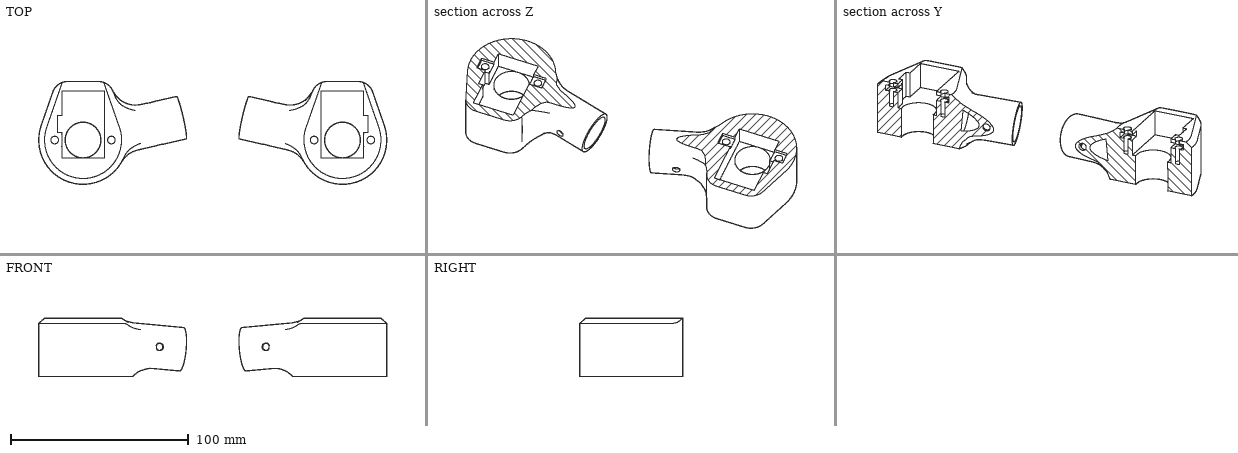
import cadquery as cq
import math


SPAN = 196.0
HEAD_DIAMETER = 50.0
HEAD_RADIUS = HEAD_DIAMETER / 2
HEAD_DEPTH = 58.0
HEAD_HEIGHT = 33.0
BACK_Y = HEAD_DEPTH - HEAD_RADIUS
BACK_WIDTH = 30.0
BACK_HALF_WIDTH = BACK_WIDTH / 2
CORNER_RADIUS = 9.0
CHAMFER_HEIGHT = 3.0
CHAMFER_WIDTH = 3.3
HEAD_OFFSET = SPAN / 2 - HEAD_RADIUS

BACK_CORNER_DISTANCE = math.hypot(BACK_HALF_WIDTH, BACK_Y)
BACK_CORNER_ANGLE = math.atan2(BACK_Y, BACK_HALF_WIDTH)
FLANK_ANGLE = BACK_CORNER_ANGLE - math.acos(HEAD_RADIUS / BACK_CORNER_DISTANCE)

TUBE_DIAMETER = 24.7
TUBE_BORE_DIAMETER = 20.5
TUBE_BORE_DEPTH = 30.0
TUBE_LENGTH = 57.0
TUBE_ROOT_Z = 20.5
TUBE_SWING = math.radians(12.8)
TUBE_DROP = math.radians(5.2)
BLEND_RADIUS = 14.0
PIN_HOLE_DIAMETER = 4.1
PIN_HOLE_FROM_END = 15.3

POCKET_HALF_WIDTH = 12.0
POCKET_BACK_Y = 27.6
POCKET_DEPTH = 14.9
NOTCH_DEPTH = 2.4
NOTCH_FRONT_Y = 4.1
NOTCH_BACK_Y = 13.7
HEAD_BORE_DIAMETER = 20.0
POCKET_FRONT_Y = -HEAD_BORE_DIAMETER / 2

SCREW_DIAMETER = 4.3
SCREW_SPACING = 32.0
SCREW_X = SCREW_SPACING / 2
SCREW_DEPTH = POCKET_DEPTH
NUT_SLOT_WIDTH = 7.0
NUT_SLOT_HEIGHT = 3.1
NUT_SLOT_BELOW_TOP = 2.4

STOCK_BELOW = 19.6
STOCK_BEHIND = 9.8
STOCK_ABOVE = 5.9

UP = cq.Vector(0, 0, 1)
TUBE_DIRECTION = cq.Vector(
    math.cos(TUBE_DROP) * math.cos(TUBE_SWING),
    math.cos(TUBE_DROP) * math.sin(TUBE_SWING),
    -math.sin(TUBE_DROP),
)
TUBE_ROOT = cq.Vector(0, 0, TUBE_ROOT_Z)
TUBE_END = TUBE_ROOT + TUBE_DIRECTION * TUBE_LENGTH


def rod(diameter, start, direction, length):
    """Cylinder that runs from start along direction."""
    return cq.Workplane(cq.Solid.makeCylinder(diameter / 2, length, start, direction))


def block(x_range, y_range, z_range):
    """Box given by its limits along each axis."""
    ranges = (x_range, y_range, z_range)
    sizes = [high - low for low, high in ranges]
    corner = tuple(low for low, high in ranges)
    return cq.Workplane("XY").box(*sizes, centered=False).translate(corner)


def head_prism(back_y, bottom, top):
    """Head outline, with its flanks running back to back_y, extruded from bottom to top."""
    touch_x = HEAD_RADIUS * math.cos(FLANK_ANGLE)
    touch_y = HEAD_RADIUS * math.sin(FLANK_ANGLE)
    half_width = touch_x - (back_y - touch_y) * math.tan(FLANK_ANGLE)
    return (
        cq.Workplane("XY", origin=(0, 0, bottom))
        .moveTo(touch_x, touch_y)
        .lineTo(half_width, back_y)
        .lineTo(-half_width, back_y)
        .lineTo(-touch_x, touch_y)
        .threePointArc((0, -HEAD_RADIUS), (touch_x, touch_y))
        .close()
        .extrude(top - bottom)
    )


def head_stock():
    """Oversized head whose chamfer carries on above the finished top face."""
    growth = 1 + STOCK_ABOVE / CHAMFER_HEIGHT
    stock = head_prism(BACK_Y + STOCK_BEHIND, -STOCK_BELOW, HEAD_HEIGHT + STOCK_ABOVE)
    front_and_flanks = stock.faces(">Z").edges("not >Y")
    return front_and_flanks.chamfer(growth * CHAMFER_HEIGHT, growth * CHAMFER_WIDTH)


def finished_limits():
    """Final head height, with the rounded back and free space in front of it."""
    back = head_prism(BACK_Y, 0, HEAD_HEIGHT).edges("|Z and >Y").fillet(CORNER_RADIUS)
    turn = math.pi / 2 - FLANK_ANGLE
    corner_start_y = BACK_Y - CORNER_RADIUS * math.tan(turn / 2) * math.cos(FLANK_ANGLE)
    space = block((-SPAN, SPAN), (-SPAN, corner_start_y), (0, HEAD_HEIGHT))
    return back.union(space)


def blended_head():
    """Head and tube, blended together and trimmed to size."""
    tube = rod(TUBE_DIAMETER, TUBE_ROOT, TUBE_DIRECTION, TUBE_LENGTH)
    joined = head_stock().union(tube)
    blended = joined.edges("%ELLIPSE or %BSPLINE").fillet(BLEND_RADIUS)
    return blended.intersect(finished_limits())


def pocket_cut():
    """Pocket with its notch, and the round bore from its floor through the base."""
    depth_range = (HEAD_HEIGHT - POCKET_DEPTH, HEAD_HEIGHT)
    pocket = block(
        (-POCKET_HALF_WIDTH, POCKET_HALF_WIDTH), (POCKET_FRONT_Y, POCKET_BACK_Y), depth_range
    )
    notch = block(
        (-POCKET_HALF_WIDTH - NOTCH_DEPTH, 0), (NOTCH_FRONT_Y, NOTCH_BACK_Y), depth_range
    )
    bore = rod(HEAD_BORE_DIAMETER, cq.Vector(0, 0, 0), UP, HEAD_HEIGHT - POCKET_DEPTH)
    return pocket.union(notch).union(bore)


def nut_slot_cut():
    """Nut slots on both sides of the pocket, cut as one bar across it."""
    reach = SCREW_X + NUT_SLOT_WIDTH / 2
    top = HEAD_HEIGHT - NUT_SLOT_BELOW_TOP
    return block(
        (-reach, reach), (-NUT_SLOT_WIDTH / 2, NUT_SLOT_WIDTH / 2), (top - NUT_SLOT_HEIGHT, top)
    )


def screw_hole_cut(x):
    """Blind screw hole from the top face."""
    return rod(SCREW_DIAMETER, cq.Vector(x, 0, HEAD_HEIGHT), -UP, SCREW_DEPTH)


def pin_hole_cut():
    """Level hole through both walls of the tube."""
    across = cq.Vector(-math.sin(TUBE_SWING), math.cos(TUBE_SWING), 0)
    middle = TUBE_END - TUBE_DIRECTION * PIN_HOLE_FROM_END
    start = middle - across * TUBE_DIAMETER
    return rod(PIN_HOLE_DIAMETER, start, across, 2 * TUBE_DIAMETER)


def tube_head(side):
    """Whole body on the left (side = -1) or, mirrored, on the right (side = 1)."""
    body = blended_head().cut(pocket_cut()).cut(nut_slot_cut())
    for x in (-SCREW_X, SCREW_X):
        body = body.cut(screw_hole_cut(x))
    body = body.cut(rod(TUBE_BORE_DIAMETER, TUBE_END, -TUBE_DIRECTION, TUBE_BORE_DEPTH))
    body = body.cut(pin_hole_cut())
    if side > 0:
        body = body.mirror("YZ")
    return body.translate((side * HEAD_OFFSET, 0, 0))


tube_heads = [tube_head(side) for side in (-1, 1)]

result = cq.Compound.makeCompound([head.val() for head in tube_heads])